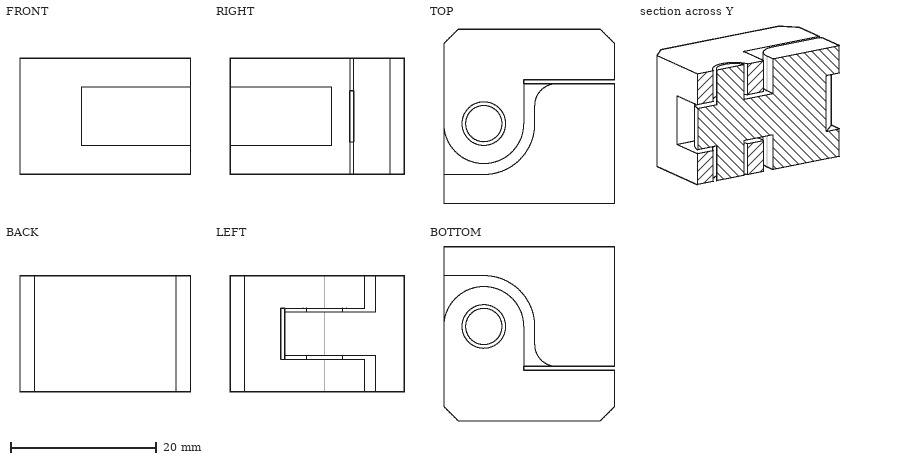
import cadquery as cq
import math

width = 23.5
depth = 24.0
height = 16.0

knuckle_radius = 5.5
pin_x = knuckle_radius
pin_y = 2 * knuckle_radius
pin_diameter = 5.0
pin_hole_diameter = 6.0

corner_chamfer = 2.0
plate_front_y = 17.0
fork_slot_height = 7.0

tongue_height = 6.0
tongue_back_y = pin_y + knuckle_radius
relief_radius = 7.0
relief_x = pin_x + relief_radius
relief_front_y = pin_y - relief_radius
relief_corner_radius = 3.0

pocket_height = 8.0
pocket_left_x = 8.5
pocket_end_depth = 14.0

diagonal = math.sqrt(0.5)


def prism(outline, bottom, thickness):
    """Extrude a closed XY outline upward from the given height."""
    return outline.extrude(thickness).translate((0, 0, bottom))


def centred_prism(outline, thickness):
    """Extrude a closed XY outline, centred on the mid height."""
    return prism(outline, (height - thickness) / 2, thickness)


def pin_cylinder(diameter):
    """Full-height cylinder on the hinge axis."""
    return cq.Workplane("XY").center(pin_x, pin_y).circle(diameter / 2).extrude(height)


def make_fork_leaf():
    """Chamfered rear plate with a slotted, rounded knuckle bored for the pin."""
    outline = (
        cq.Workplane("XY")
        .moveTo(0, pin_y)
        .threePointArc((pin_x, pin_y - knuckle_radius), (pin_x + knuckle_radius, pin_y))
        .lineTo(pin_x + knuckle_radius, plate_front_y)
        .lineTo(width, plate_front_y)
        .lineTo(width, depth - corner_chamfer)
        .lineTo(width - corner_chamfer, depth)
        .lineTo(corner_chamfer, depth)
        .lineTo(0, depth - corner_chamfer)
        .close()
    )
    slot_outline = cq.Workplane("XY").rect(width, plate_front_y, centered=False)
    slot = centred_prism(slot_outline, fork_slot_height)
    return prism(outline, 0, height).cut(slot).cut(pin_cylinder(pin_hole_diameter))


def make_front_block():
    """Full-height block curved to clear the knuckles of the fork leaf."""
    corner_x = relief_x + relief_corner_radius
    corner_y = tongue_back_y - relief_corner_radius
    corner_middle = (
        corner_x - relief_corner_radius * diagonal,
        corner_y + relief_corner_radius * diagonal,
    )
    relief_middle = (pin_x + relief_radius * diagonal, pin_y - relief_radius * diagonal)
    outline = (
        cq.Workplane("XY")
        .lineTo(width, 0)
        .lineTo(width, tongue_back_y)
        .lineTo(corner_x, tongue_back_y)
        .threePointArc(corner_middle, (relief_x, corner_y))
        .lineTo(relief_x, pin_y)
        .threePointArc(relief_middle, (pin_x, relief_front_y))
        .lineTo(0, relief_front_y)
        .close()
    )
    return prism(outline, 0, height)


def make_tongue():
    """Central layer with a rounded rear left corner around the hinge axis."""
    round_middle = (pin_x - knuckle_radius * diagonal, pin_y + knuckle_radius * diagonal)
    outline = (
        cq.Workplane("XY")
        .lineTo(width, 0)
        .lineTo(width, tongue_back_y)
        .lineTo(pin_x, tongue_back_y)
        .threePointArc(round_middle, (0, pin_y))
        .close()
    )
    return centred_prism(outline, tongue_height)


def make_pocket():
    """Triangular pocket that deepens toward the right side."""
    outline = (
        cq.Workplane("XY")
        .moveTo(pocket_left_x, 0)
        .lineTo(width, 0)
        .lineTo(width, pocket_end_depth)
        .close()
    )
    return centred_prism(outline, pocket_height)


def make_tongue_leaf():
    """Front block, tongue and pin as one solid, with the slanted pocket."""
    leaf = make_front_block().union(make_tongue()).union(pin_cylinder(pin_diameter))
    return leaf.cut(make_pocket())


fork_leaf = make_fork_leaf()
tongue_leaf = make_tongue_leaf()

result = cq.Compound.makeCompound([fork_leaf.val(), tongue_leaf.val()])